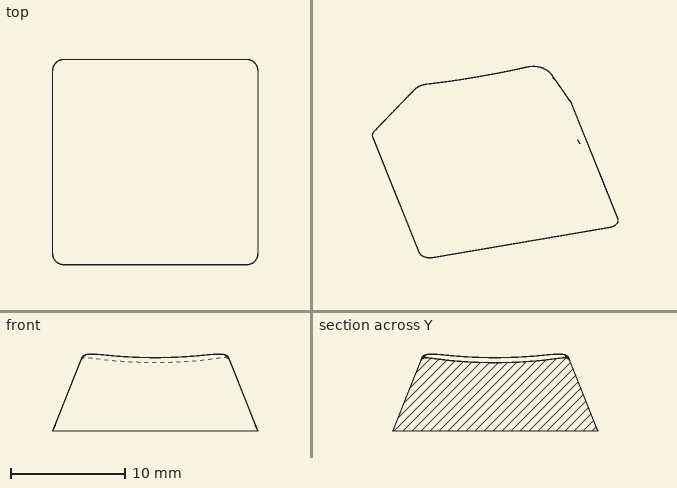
import cadquery as cq

base_width = 18.0
base_corner_radius = 1.0
blank_height = 7.5
blank_top_width = 12.0
blank_top_corner_radius = 2.0

dish_radius = 40.5
dish_floor_height = 6.0
rim_fillet_radius = 0.5


def rounded_square(width, corner_radius, height):
    """Closed outline of a rounded square lying level at the given height."""
    sketch = cq.Sketch().rect(width, width).vertices().fillet(corner_radius)
    return sketch.moved(cq.Location(cq.Vector(0, 0, height)))


def tapered_blank():
    """Solid block between the base outline and the smaller, rounder top outline."""
    base = rounded_square(base_width, base_corner_radius, 0)
    top = rounded_square(blank_top_width, blank_top_corner_radius, blank_height)
    return cq.Workplane("XY").placeSketch(base, top).loft(ruled=True)


def dish_cutter():
    """Ball that hollows the top, lowest at the centre of the keycap."""
    ball_centre_height = dish_floor_height + dish_radius
    return cq.Workplane("XY").sphere(dish_radius).translate((0, 0, ball_centre_height))


keycap = tapered_blank().cut(dish_cutter())
dish_rim = keycap.faces("%SPHERE").edges()
result = dish_rim.fillet(rim_fillet_radius)